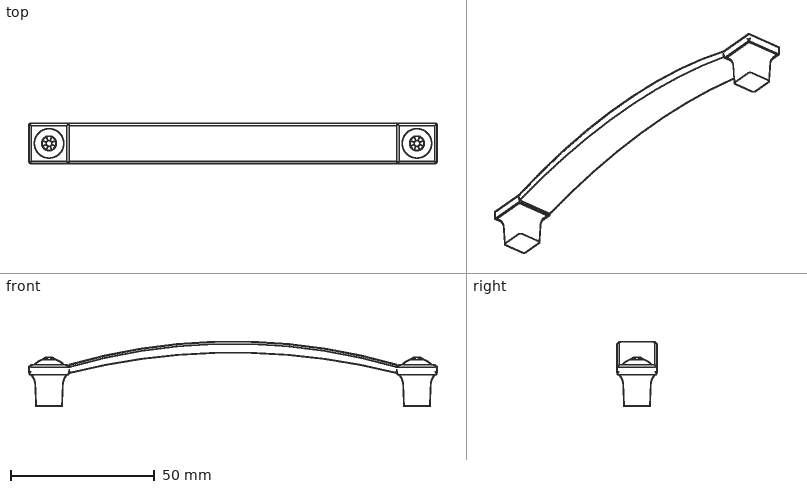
import cadquery as cq
import math

length = 142.0
width = 14.0
height = 22.6
plate_x = length / 2 - width / 2
plate_inner_x = length / 2 - width

plate_bottom = 11.0
plate_top = 14.5
plate_corner_radius = 0.9

side_bevel = 0.4
shoulder_bevel_inset = 0.4
shoulder_bevel_drop = 0.3
panel_bevel_inset = 0.9
panel_bevel_drop = 0.1
lower_bevel_inset = 0.3
lower_bevel_rise = 1.1

bar_thickness = 4.0
bar_end_bottom = 11.5

bar_blank_depth = 5.7
blank_overrun = 1.1

post_foot_half_width = 4.5
post_top_half_width = 4.8
post_height = 7.2
flare_top_half_width = 6.2
leg_corner_radius = 0.9

dome_base_radius = 5.1
dome_sphere_radius = 7.1
seat_z = 16.2
crystal_sides = 8
crystal_girdle_width = 4.8
crystal_table_width = 2.0
crystal_height = 0.9


def bevelled_section(plane, top, bottom):
    """Closed bevelled outline as wide as the handle, centred on the plane's vertical axis."""
    ledge_half = width / 2 - side_bevel
    shoulder_half = ledge_half - shoulder_bevel_inset
    panel_half = shoulder_half - panel_bevel_inset
    shoulder_z = top - panel_bevel_drop
    ledge_z = shoulder_z - shoulder_bevel_drop
    right_half = [
        (width / 2 - lower_bevel_inset, bottom),
        (width / 2, bottom + lower_bevel_rise),
        (width / 2, ledge_z - side_bevel),
        (ledge_half, ledge_z),
        (shoulder_half, shoulder_z),
        (panel_half, top),
    ]
    left_half = [(-across, up) for across, up in reversed(right_half)]
    return cq.Workplane(plane).polyline(right_half + left_half).close()


def make_plate():
    """Square plate bevelled on all four sides, its outer (-X) corners rounded."""
    along_x = bevelled_section("YZ", plate_top, plate_bottom).extrude(width / 2, both=True)
    along_y = bevelled_section("XZ", plate_top, plate_bottom).extrude(width / 2, both=True)
    rounded_square = (
        cq.Workplane("XY")
        .rect(width, width)
        .extrude(height)
        .edges("|Z and <X")
        .fillet(plate_corner_radius)
    )
    return along_x.intersect(along_y).intersect(rounded_square)


def leg_silhouette(plane):
    """Post and concave flare, extruded across the full plate width."""
    flare_run = flare_top_half_width - post_top_half_width
    flare_rise = plate_bottom - post_height
    flare_radius = (flare_run**2 + flare_rise**2) / (2 * flare_run)
    return (
        cq.Workplane(plane)
        .moveTo(-post_foot_half_width, 0)
        .lineTo(post_foot_half_width, 0)
        .lineTo(post_top_half_width, post_height)
        .radiusArc((flare_top_half_width, plate_bottom), flare_radius)
        .lineTo(-flare_top_half_width, plate_bottom)
        .radiusArc((-post_top_half_width, post_height), flare_radius)
        .close()
        .extrude(width / 2, both=True)
    )


def make_leg():
    """Square leg with rounded corners, centred on the Z axis."""
    leg = leg_silhouette("XZ").intersect(leg_silhouette("YZ"))
    return leg.edges("not(#Z)").fillet(leg_corner_radius)


def make_dome():
    """Spherical cap cut flat at the crystal seat, centred on the Z axis."""
    sphere_z = plate_top - math.sqrt(dome_sphere_radius**2 - dome_base_radius**2)
    sphere = cq.Workplane("XY", origin=(0, 0, sphere_z)).sphere(dome_sphere_radius)
    slab = cq.Workplane("XY", origin=(0, 0, plate_top)).rect(width, width).extrude(seat_z - plate_top)
    return sphere.intersect(slab)


def arched_blank(top, bottom, crown_z, end_z):
    """Bevelled section swept along an arc crown_z high at mid-length and end_z at the plates."""
    rise = crown_z - end_z
    radius = (plate_inner_x**2 + rise**2) / (2 * rise)
    axis_z = crown_z - radius
    half_sweep = blank_overrun * math.degrees(math.asin(plate_inner_x / radius))
    return (
        bevelled_section("YZ", top, bottom)
        .revolve(2 * half_sweep, (0, axis_z, 0), (1, axis_z, 0))
        .rotate((0, 0, axis_z), (0, 1, axis_z), -half_sweep)
    )


def make_bar():
    """Arched bar whose bevelled top and underside come from two blanks, ending at the plates."""
    underside = height - bar_thickness
    upper = arched_blank(height, height - bar_blank_depth, height, plate_top)
    lower = arched_blank(underside + bar_blank_depth, underside, underside, bar_end_bottom)
    span = cq.Workplane("XY").box(2 * plate_inner_x, width, 2 * height)
    return upper.intersect(lower).intersect(span)


def make_handle():
    """Bar, end plates, legs and domes as one solid."""
    end = make_plate().union(make_leg()).union(make_dome())
    left_end = end.translate((-plate_x, 0, 0))
    return make_bar().union(left_end).union(left_end.mirror("YZ")).clean()


def make_crystal():
    """Octagonal crystal: a faceted crown tapering from girdle to table, flats square to X and Y."""
    corner_ratio = 1 / math.cos(math.pi / crystal_sides)
    return (
        cq.Workplane("XY", origin=(0, 0, seat_z))
        .polygon(crystal_sides, crystal_girdle_width * corner_ratio)
        .workplane(offset=crystal_height)
        .polygon(crystal_sides, crystal_table_width * corner_ratio)
        .loft(ruled=True)
        .rotate((0, 0, 0), (0, 0, 1), 180 / crystal_sides)
    )


handle = make_handle()
crystals = [make_crystal().translate((x, 0, 0)) for x in (-plate_x, plate_x)]

result = cq.Compound.makeCompound([handle.val(), *[crystal.val() for crystal in crystals]])